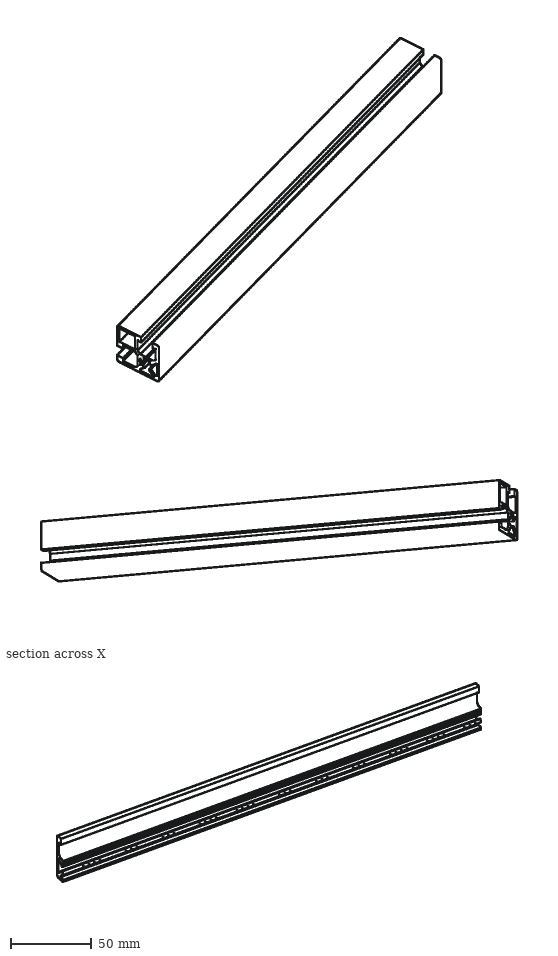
import cadquery as cq
import math

length = 304.8
side = 32.0
corner_radius = 1.8

thin_wall = 1.8
slot_side_wall = 2.7
box_inner_side = 12.0
box_outer_side = box_inner_side + 2 * thin_wall

slot_centre = 22.5
slot_mouth_width = 8.5
lip_thickness = 4.5
slot_far_side = side - slot_side_wall
slot_corner_radius = 2.7
slot_corner_chamfer = 2.0
groove_width = 1.2
groove_depth = 0.3

chamber_near = box_outer_side + thin_wall
chamber_far = side - thin_wall
tip_reach = 3.0
tip_half_gap = 1.5
bore_radius = math.hypot(tip_reach, tip_half_gap)


def extrude_outline(points):
    """Extrude a section outline given as (distance from -X side, depth below top)."""
    section = [(across - side / 2, side / 2 - depth) for across, depth in points]
    return cq.Workplane("XZ").polyline(section).close().extrude(length / 2, both=True)


def rectangle(left, top, right, bottom):
    return extrude_outline([(left, top), (right, top), (right, bottom), (left, bottom)])


def both_ways(outline):
    """Return the outline's prism joined with its mirror about the profile's diagonal."""
    swapped = [(depth, across) for across, depth in outline]
    return extrude_outline(outline).union(extrude_outline(swapped))


def make_slot(mirrored):
    """T-slot open to the top, or its diagonal mirror open to -X."""
    mouth_left = slot_centre - slot_mouth_width / 2
    mouth_right = slot_centre + slot_mouth_width / 2
    cavity = rectangle(box_outer_side, lip_thickness, slot_far_side, box_outer_side)
    cavity = cavity.edges("|Y").edges("<Z").edges(">X").fillet(slot_corner_radius)
    cavity = cavity.edges("|Y").edges("<X").edges("<Z").chamfer(slot_corner_chamfer)
    mouth = rectangle(mouth_left, 0, mouth_right, lip_thickness)
    groove = extrude_outline([
        (slot_centre - groove_width / 2, box_outer_side),
        (slot_centre + groove_width / 2, box_outer_side),
        (slot_centre, box_outer_side + groove_depth),
    ])
    slot = cavity.union(mouth).union(groove)
    if mirrored:
        slot = slot.rotate((-3, 0, 3), (3, 0, -3), 180)
    return slot


def make_chamber():
    """Screw bore joined with the four pockets that lie between the arms."""
    bore_x = slot_centre - side / 2
    bore = cq.Workplane("XZ").center(bore_x, -bore_x).circle(bore_radius).extrude(length / 2, both=True)

    root_reach = slot_centre - chamber_near
    root_half_width = root_reach * tip_half_gap / tip_reach
    slot_side_pockets = both_ways([
        (slot_centre, slot_centre),
        (slot_centre - root_half_width, chamber_near),
        (slot_centre + root_half_width, chamber_near),
    ])

    flare_end = slot_centre + tip_reach + root_reach - tip_half_gap
    outer_pockets = both_ways([
        (slot_centre, slot_centre - tip_half_gap),
        (slot_centre + tip_reach, slot_centre - tip_half_gap),
        (flare_end, slot_centre - root_reach),
        (chamber_far, slot_centre - root_reach),
        (chamber_far, slot_centre + root_reach),
        (flare_end, slot_centre + root_reach),
        (slot_centre + tip_reach, slot_centre + tip_half_gap),
        (slot_centre, slot_centre + tip_half_gap),
    ])
    return bore.union(slot_side_pockets).union(outer_pockets)


body = cq.Workplane("XY").box(side, length, side).edges("|Y").fillet(corner_radius)
box_far = thin_wall + box_inner_side
body = body.cut(rectangle(thin_wall, thin_wall, box_far, box_far))
for mirrored in (False, True):
    body = body.cut(make_slot(mirrored))
result = body.cut(make_chamber())